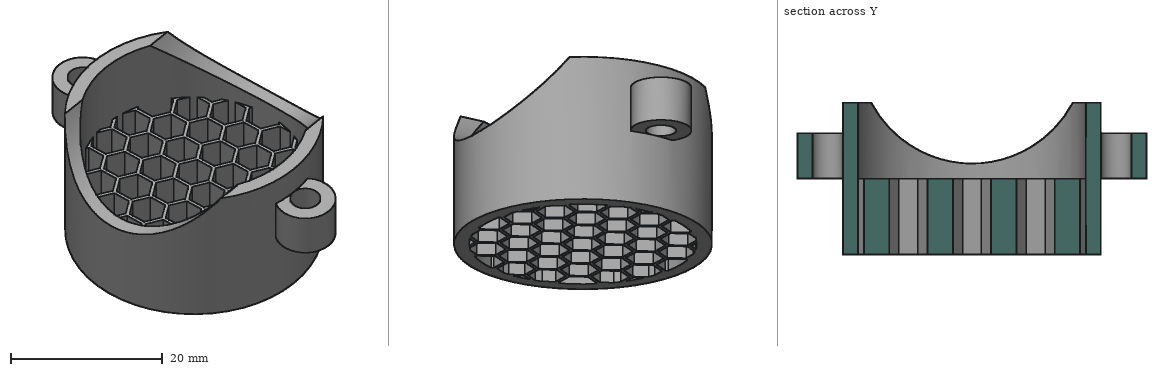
import cadquery as cq
import math

outer_diameter = 34.0
bore_diameter = 30.0
body_height = 20.0

saddle_radius = 15.0
saddle_depth = 8.0

lug_diameter = 8.0
lug_hole_diameter = 4.0
lug_height = 6.0
lug_bottom = 10.0
lug_offset = (outer_diameter + lug_hole_diameter) / 2

grille_thickness = 10.0
cell_sides = 6
cell_corner_diameter = 5.0
web_thickness = 0.5
cell_flat_width = cell_corner_diameter * math.cos(math.pi / cell_sides)
cell_pitch = cell_flat_width + web_thickness
column_pitch = cell_pitch * math.cos(math.pi / cell_sides)


def make_cylinder(diameter, height, bottom=0.0, x=0.0):
    """Upright cylinder standing on the given height."""
    return cq.Workplane("XY", origin=(x, 0, bottom)).circle(diameter / 2).extrude(height)


def make_saddle_cutter():
    """Cylinder along Y whose lowest line lies saddle_depth below the rim."""
    axis_height = body_height - saddle_depth + saddle_radius
    return (
        cq.Workplane("XZ", origin=(0, 0, axis_height))
        .circle(saddle_radius)
        .extrude(outer_diameter, both=True)
    )


def cell_centers():
    """Centres of the hexagonal cells that reach into the bore."""
    reach = (bore_diameter + cell_corner_diameter) / 2
    last_column = math.ceil(reach / column_pitch)
    last_row = math.ceil(reach / cell_pitch)
    centers = []
    for column in range(-last_column, last_column + 1):
        stagger = (column % 2) * cell_pitch / 2
        for row in range(-last_row - 1, last_row + 1):
            center = (column * column_pitch, row * cell_pitch + stagger)
            if math.hypot(*center) < reach:
                centers.append(center)
    return centers


def make_grille():
    """Disc filling the bore, pierced by hexagonal cells with corners toward X."""
    cells = (
        cq.Workplane("XY")
        .pushPoints(cell_centers())
        .polygon(cell_sides, cell_corner_diameter)
        .extrude(grille_thickness)
    )
    return make_cylinder(bore_diameter, grille_thickness).cut(cells)


def make_lug_cylinders(diameter):
    """Matching upright cylinders at the two lug positions."""
    left = make_cylinder(diameter, lug_height, lug_bottom, -lug_offset)
    return left.union(left.mirror("YZ"))


body = make_cylinder(outer_diameter, body_height).union(make_lug_cylinders(lug_diameter))
body = body.cut(make_cylinder(bore_diameter, body_height))
body = body.cut(make_saddle_cutter())
body = body.cut(make_lug_cylinders(lug_hole_diameter))

result = body.union(make_grille())